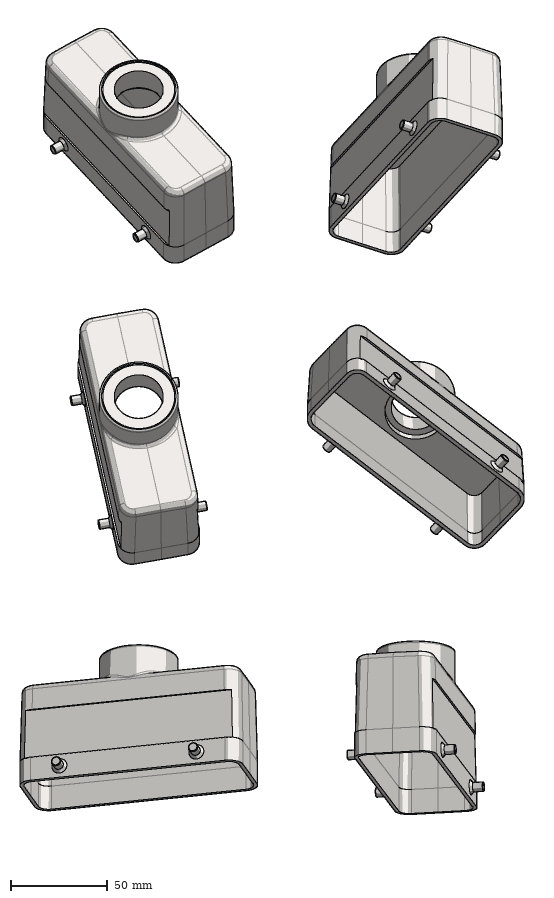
import cadquery as cq
import math

LENGTH = 120.0
WIDTH = 43.3
BASE_HEIGHT = 13.0
ROOF_HEIGHT = 55.0
DRAFT_ANGLE = 1.3
CORNER_RADIUS = 7.5
END_CROWN = 0.06
ROOF_CROWN = 0.2
ROOF_FILLET = 3.2
WALL = 2.0
CAVITY_HEIGHT = ROOF_HEIGHT - WALL

RECESS_TOP = 40.0
RECESS_DEPTH = 1.0

NECK_TOP = 71.0
NECK_DIAMETER = 41.0
NECK_ROOT_FILLET = 1.8
RIM_FILLET = 1.1
SOCKET_DIAMETER = 37.5
MOUTH_CHAMFER = 0.6
PASSAGE_DIAMETER = 32.0

RING_SETBACK = 0.2
RING_HEIGHT = 13.5
RING_BORE = 25.5
RING_TOP = NECK_TOP - RING_SETBACK
RING_SEAT = RING_TOP - RING_HEIGHT

PIN_SPAN = 57.2
PIN_SPACING = 73.8
PIN_Z = 6.4
PIN_DIAMETER = 5.0
PIN_TIP_CHAMFER = 0.4
PIN_COLLAR_DIAMETER = 8.0
PIN_COLLAR_HEIGHT = 1.5

SELECTION_MARGIN = 0.1


def cylinder(diameter, bottom, top):
    """Vertical cylinder on the Z axis."""
    return cq.Workplane("XY").workplane(offset=bottom).circle(diameter / 2).extrude(top - bottom)


def half_outline(inset, height):
    """Plan of the +Y half, with ends that peak on the centre line, run past Y = 0 to be trimmed there."""
    peak_x = LENGTH / 2 - inset
    corner_x = peak_x - END_CROWN
    corner_y = WIDTH / 2 - inset
    return (
        cq.Workplane("XY")
        .workplane(offset=height)
        .polyline([
            (-peak_x, -corner_y),
            (-peak_x, 0),
            (-corner_x, corner_y),
            (corner_x, corner_y),
            (peak_x, 0),
            (peak_x, -corner_y),
        ])
        .close()
    )


def half_space(top):
    """Everything on the +Y side that lies under the sloping half of the roof."""
    profile = [(0, 0), (WIDTH / 2, 0), (WIDTH / 2, top - ROOF_CROWN), (0, top)]
    return cq.Workplane("YZ").polyline(profile).close().extrude(LENGTH, both=True)


def half_block(inset, top, roof_fillet=0):
    """Half of the skirt and drafted walls, moved inward by the inset from the outer faces."""
    corner_radius = CORNER_RADIUS - inset
    skirt = half_outline(inset, 0).extrude(BASE_HEIGHT)
    skirt = skirt.edges("|Z").edges(">Y").fillet(corner_radius)
    upper = half_outline(inset, BASE_HEIGHT).extrude(top - BASE_HEIGHT, taper=DRAFT_ANGLE)
    upper = upper.edges("not(#Z)").edges(">Y").fillet(corner_radius)
    upper = upper.intersect(half_space(top))
    if roof_fillet > 0:
        upper = upper.faces(">Z").edges("not(<Y)").fillet(roof_fillet)
    return upper.union(skirt.intersect(half_space(top)))


def half_neck():
    """Half of the neck, from inside the roof up to its rounded rim."""
    neck = cylinder(NECK_DIAMETER, CAVITY_HEIGHT - WALL, NECK_TOP)
    neck = neck.faces(">Z").edges().fillet(RIM_FILLET)
    return neck.intersect(half_space(2 * NECK_TOP))


def both_halves(half):
    return half.union(half.mirror("XZ"))


def side_recess(side):
    """Cutter for the flat recess on one long side; its floor is parallel to the drafted wall."""
    floor_bottom = WIDTH / 2 - RECESS_DEPTH
    recess_height = RECESS_TOP - BASE_HEIGHT
    floor_top = floor_bottom - recess_height * math.tan(math.radians(DRAFT_ANGLE))
    return (
        cq.Workplane("YZ")
        .polyline([
            (side * floor_bottom, BASE_HEIGHT),
            (side * WIDTH, BASE_HEIGHT),
            (side * WIDTH, RECESS_TOP),
            (side * floor_top, RECESS_TOP),
        ])
        .close()
        .extrude(LENGTH / 2, both=True)
    )


def locking_pin(x, side):
    """Pin with a conical collar, standing out from one long side."""
    wall_y = WIDTH / 2
    root_y = wall_y - WALL / 2
    tip_y = PIN_SPAN / 2
    pin_radius = PIN_DIAMETER / 2
    collar_radius = PIN_COLLAR_DIAMETER / 2
    profile = [
        (0, root_y),
        (collar_radius, root_y),
        (collar_radius, wall_y),
        (pin_radius, wall_y + PIN_COLLAR_HEIGHT),
        (pin_radius, tip_y - PIN_TIP_CHAMFER),
        (pin_radius - PIN_TIP_CHAMFER, tip_y),
        (0, tip_y),
    ]
    pin = cq.Workplane("XY").polyline(profile).close().revolve(360, (0, 0, 0), (0, 1, 0))
    if side < 0:
        pin = pin.mirror("XZ")
    return pin.translate((x, 0, PIN_Z))


def flared_mouth():
    """Cutter for the shallow cone that opens the socket at the rim."""
    profile = [
        (0, NECK_TOP - MOUTH_CHAMFER),
        (SOCKET_DIAMETER / 2, NECK_TOP - MOUTH_CHAMFER),
        (SOCKET_DIAMETER / 2 + MOUTH_CHAMFER, NECK_TOP),
        (0, NECK_TOP),
    ]
    return cq.Workplane("XZ").polyline(profile).close().revolve(360, (0, 0, 0), (0, 1, 0))


def make_housing():
    half = half_block(0, ROOF_HEIGHT, ROOF_FILLET).union(half_neck())

    reach = NECK_DIAMETER / 2 + SELECTION_MARGIN
    root_edges = cq.selectors.BoxSelector(
        (-reach, -SELECTION_MARGIN, ROOF_HEIGHT - ROOF_FILLET),
        (reach, reach, ROOF_HEIGHT + SELECTION_MARGIN),
        boundingbox=True,
    )
    half = half.edges(root_edges).fillet(NECK_ROOT_FILLET)
    body = both_halves(half)

    for side in (-1, 1):
        body = body.cut(side_recess(side))
        for x in (-PIN_SPACING / 2, PIN_SPACING / 2):
            body = body.union(locking_pin(x, side))

    body = body.cut(both_halves(half_block(WALL, CAVITY_HEIGHT)))
    body = body.cut(cylinder(PASSAGE_DIAMETER, CAVITY_HEIGHT - WALL, RING_SEAT))
    body = body.cut(cylinder(SOCKET_DIAMETER, RING_SEAT, RING_TOP))
    return body.cut(flared_mouth())


def make_sealing_ring():
    ring = cylinder(SOCKET_DIAMETER, RING_SEAT, RING_TOP)
    return ring.cut(cylinder(RING_BORE, RING_SEAT, RING_TOP))


housing = make_housing()
sealing_ring = make_sealing_ring()
result = cq.Compound.makeCompound([housing.val(), sealing_ring.val()])